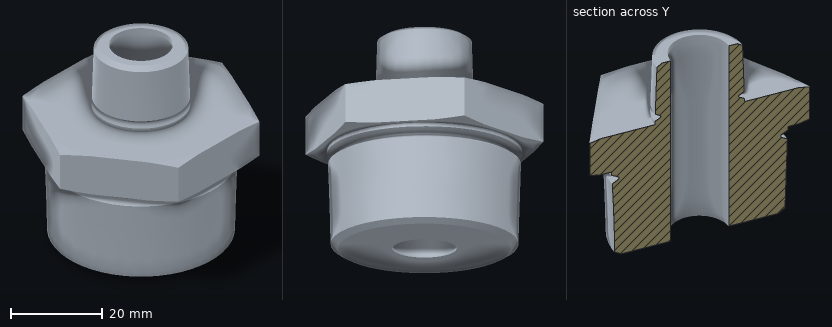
import cadquery as cq

HEX_CORNERS = 53.1
HEX_BOTTOM = 22.4
HEX_TOP = 32.15
HEX_FACE_RADIUS = 23.9
HEX_CORNER_DROP = 0.55

TAPER_PER_LENGTH = 1 / 32
BORE_RADIUS = 7.0
GROOVE_ROUND_DEPTH = 0.15

LOWER_END = dict(
    collar_radius=21.4,
    collar_length=0.85,
    groove_radius=19.75,
    groove_start=1.7,
    groove_end=2.35,
    taper_start=3.15,
    taper_radius=21.2,
    taper_end=21.4,
    tip_radius=18.95,
    length=HEX_BOTTOM,
)

UPPER_END = dict(
    collar_radius=10.85,
    collar_length=0.85,
    groove_radius=9.6,
    groove_start=1.5,
    groove_end=1.95,
    taper_start=2.65,
    taper_radius=10.8,
    taper_end=15.05,
    tip_radius=9.1,
    length=15.9,
)


def threaded_end(
    face_z, direction, collar_radius, collar_length, groove_radius, groove_start,
    groove_end, taper_start, taper_radius, taper_end, tip_radius, length,
):
    """Collar, round-floored relief groove and tapered body, revolved outward from a hexagon face."""
    narrow_radius = taper_radius - (taper_end - taper_start) * TAPER_PER_LENGTH
    groove_middle = (groove_start + groove_end) / 2

    def at(radius, distance):
        return (radius, face_z + direction * distance)

    return (
        cq.Workplane("XZ")
        .polyline([
            at(0, 0),
            at(collar_radius, 0),
            at(collar_radius, collar_length),
            at(groove_radius, groove_start),
        ])
        .threePointArc(at(groove_radius - GROOVE_ROUND_DEPTH, groove_middle), at(groove_radius, groove_end))
        .lineTo(*at(taper_radius, taper_start))
        .lineTo(*at(narrow_radius, taper_end))
        .lineTo(*at(tip_radius, length))
        .lineTo(*at(0, length))
        .close()
        .revolve(360, (0, 0), (0, 1))
    )


def chamfered_hexagon():
    """Hexagon with its corners on X, trimmed by a shallow cone on each face."""
    corner_radius = HEX_CORNERS / 2
    prism = (
        cq.Workplane("XY")
        .workplane(offset=HEX_BOTTOM)
        .polygon(6, HEX_CORNERS)
        .extrude(HEX_TOP - HEX_BOTTOM)
    )
    rim_radius = corner_radius + 0.55
    rim_drop = HEX_CORNER_DROP * (rim_radius - HEX_FACE_RADIUS) / (corner_radius - HEX_FACE_RADIUS)
    envelope = (
        cq.Workplane("XZ")
        .polyline([
            (0, HEX_BOTTOM),
            (HEX_FACE_RADIUS, HEX_BOTTOM),
            (rim_radius, HEX_BOTTOM + rim_drop),
            (rim_radius, HEX_TOP - rim_drop),
            (HEX_FACE_RADIUS, HEX_TOP),
            (0, HEX_TOP),
        ])
        .close()
        .revolve(360, (0, 0), (0, 1))
    )
    return prism.intersect(envelope)


body = (
    chamfered_hexagon()
    .union(threaded_end(HEX_BOTTOM, -1, **LOWER_END))
    .union(threaded_end(HEX_TOP, 1, **UPPER_END))
)

total_height = HEX_TOP + UPPER_END["length"]
bore = cq.Workplane("XY").circle(BORE_RADIUS).extrude(total_height)
result = body.cut(bore)